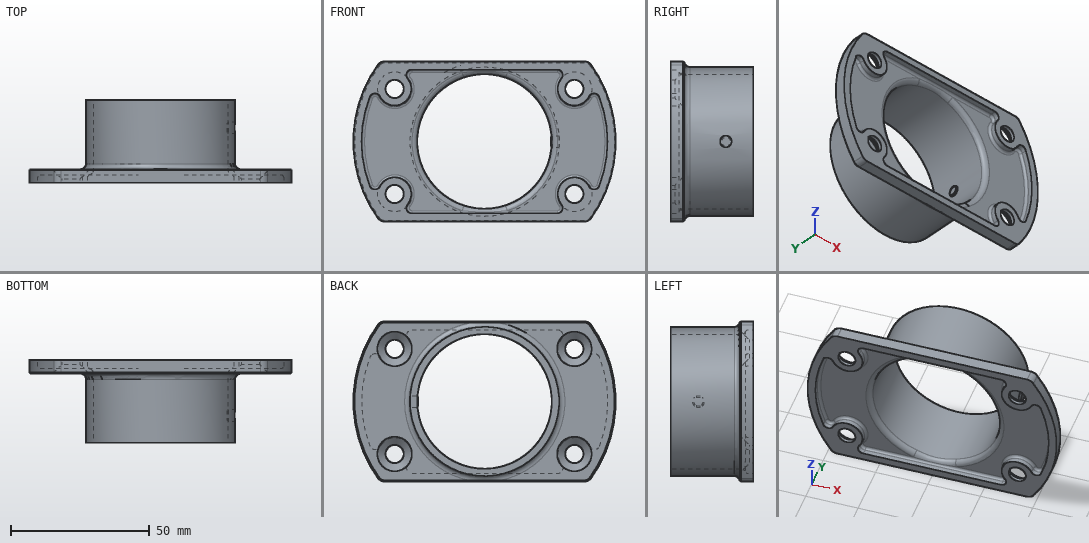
import cadquery as cq
import math

end_diameter = 95.0
plate_height = 58.0
plate_thickness = 5.0
corner_radius = 3.0
rear_chamfer = 0.5

tube_diameter = 54.0
bore_diameter = 48.6
total_depth = 30.0
root_fillet = 2.0
bore_mouth_radius = 2.0

hole_diameter = 6.5
countersink_diameter = 12.5
countersink_land = 0.5
hole_spacing_x = 65.0
hole_spacing_z = 38.0
pad_radius = 6.0

rim_width = 3.0
pocket_depth = 3.0
pocket_corner_radius = 2.0
pocket_floor_fillet = 1.0

pin_diameter = 4.2
pin_y = 20.0
pin_protrusion = 0.3
pin_tip_chamfer = 0.5

selection_margin = 0.1

end_radius = end_diameter / 2
tube_radius = tube_diameter / 2
bore_radius = bore_diameter / 2
half_height = plate_height / 2
hole_x = hole_spacing_x / 2
hole_z = hole_spacing_z / 2


def front_plane(y):
    """Workplane at depth y with local axes X and Z; a negative extrusion runs towards +Y."""
    return cq.Workplane("XZ", origin=(0, y, 0))


def cylinder_y(radius, y_start, y_end):
    """Cylinder on the Y axis."""
    return front_plane(y_start).circle(radius).extrude(y_start - y_end)


def make_plate():
    """Disc cut to a band, with rounded corners and a chamfered rear edge."""
    disc = cylinder_y(end_radius, 0, plate_thickness)
    band = cq.Workplane("XY").box(end_diameter, 2 * plate_thickness, plate_height)
    plate = disc.intersect(band).edges("|Y").fillet(corner_radius)
    return plate.faces(">Y").chamfer(rear_chamfer)


def make_root_flare():
    """Concave fillet ring between tube and plate, trimmed flush with the plate's chamfered long edges."""
    outer_radius = tube_radius + root_fillet
    arc_offset = root_fillet * (1 - math.sqrt(0.5))
    flare = (
        cq.Workplane("XY")
        .moveTo(bore_radius, plate_thickness)
        .lineTo(outer_radius, plate_thickness)
        .threePointArc(
            (tube_radius + arc_offset, plate_thickness + arc_offset),
            (tube_radius, plate_thickness + root_fillet),
        )
        .lineTo(bore_radius, plate_thickness + root_fillet)
        .close()
        .revolve(360, (0, 0, 0), (0, 1, 0))
    )
    rear_height = plate_height - 2 * rear_chamfer
    return flare.intersect(cq.Workplane("XY").box(end_diameter, 2 * total_depth, rear_height))


def point_toward(start, target, distance):
    """Point at the given distance from start on the way to target."""
    share = distance / math.dist(start, target)
    return (start[0] + (target[0] - start[0]) * share, start[1] + (target[1] - start[1]) * share)


def arc_middle(center, radius, first, last):
    """Middle point of the shorter arc from first to last."""
    chord_middle = ((first[0] + last[0]) / 2, (first[1] + last[1]) / 2)
    return point_toward(center, chord_middle, radius)


def pocket_outline():
    """Closed pocket outline: rim lines, end arcs, and pads joined to the rim by tangent corner arcs."""
    rim_z = half_height - rim_width
    end_arc_radius = end_radius - rim_width
    reach = pad_radius + pocket_corner_radius
    pad = (hole_x, hole_z)

    inner_z = rim_z - pocket_corner_radius
    inner_x = hole_x - math.sqrt(reach**2 - (inner_z - hole_z) ** 2)
    inner = (inner_x, inner_z)

    end_reach = end_arc_radius - pocket_corner_radius
    pad_distance = math.hypot(hole_x, hole_z)
    cosine = (pad_distance**2 + end_reach**2 - reach**2) / (2 * pad_distance * end_reach)
    angle = math.atan2(hole_z, hole_x) - math.acos(cosine)
    outer = (end_reach * math.cos(angle), end_reach * math.sin(angle))

    rim_point = (inner_x, rim_z)
    pad_inner = point_toward(pad, inner, pad_radius)
    pad_outer = point_toward(pad, outer, pad_radius)
    end_point = point_toward((0, 0), outer, end_arc_radius)

    quadrant = [
        (rim_point, arc_middle(inner, pocket_corner_radius, rim_point, pad_inner), pad_inner),
        (pad_inner, point_toward(pad, (0, 0), pad_radius), pad_outer),
        (pad_outer, arc_middle(outer, pocket_corner_radius, pad_outer, end_point), end_point),
    ]

    outline = front_plane(0).moveTo(-inner_x, rim_z)
    for side in (1, -1):
        outline = outline.lineTo(side * inner_x, side * rim_z)
        for _, middle, last in quadrant:
            outline = outline.threePointArc(
                (side * middle[0], side * middle[1]), (side * last[0], side * last[1])
            )
        outline = outline.threePointArc(
            (side * end_arc_radius, 0), (side * end_point[0], -side * end_point[1])
        )
        for first, middle, _ in reversed(quadrant):
            outline = outline.threePointArc(
                (side * middle[0], -side * middle[1]), (side * first[0], -side * first[1])
            )
    return outline.close()


def make_pocket():
    """Cutter for the front pocket, rounded where its walls meet its floor."""
    return pocket_outline().extrude(-pocket_depth).faces(">Y").edges().fillet(pocket_floor_fillet)


def pin_rod(start_x):
    """Rod on the pin's axis from start_x out to the tube's outer surface."""
    rod = (
        cq.Workplane("YZ", origin=(start_x, pin_y, 0))
        .circle(pin_diameter / 2)
        .extrude(tube_diameter)
    )
    return rod.intersect(cylinder_y(tube_radius, 0, total_depth))


def make_pin():
    """Pin through the tube wall, its outer end flush with the tube and its tip chamfered."""
    return pin_rod(bore_radius - pin_protrusion).faces("<X").chamfer(pin_tip_chamfer)


def make_pin_hole():
    """Hole for the pin, straight through the tube wall."""
    return pin_rod(0)


def make_screw_holes():
    """Plain holes opening into 90 degree countersinks that end in a short land at the rear face."""
    hole_radius = hole_diameter / 2
    sink_radius = countersink_diameter / 2
    land_start = plate_thickness - countersink_land
    cone_start = land_start - (sink_radius - hole_radius)
    cutter = (
        cq.Workplane("XY")
        .polyline(
            [
                (0, 0),
                (hole_radius, 0),
                (hole_radius, cone_start),
                (sink_radius, land_start),
                (sink_radius, plate_thickness),
                (0, plate_thickness),
            ]
        )
        .close()
        .revolve(360, (0, 0, 0), (0, 1, 0))
    )
    return [
        cutter.translate((side_x * hole_x, 0, side_z * hole_z))
        for side_x in (-1, 1)
        for side_z in (-1, 1)
    ]


def round_bore_mouth(housing):
    """Round the circular edge where the bore meets the pocket floor."""
    reach = bore_radius + selection_margin
    mouth_edge = cq.selectors.BoxSelector(
        (-reach, pocket_depth - selection_margin, -reach),
        (reach, pocket_depth + selection_margin, reach),
        boundingbox=True,
    )
    return housing.edges(mouth_edge).fillet(bore_mouth_radius)


def make_housing():
    """Plate and tube in one piece, with the pocket, the screw holes and the hole that holds the pin."""
    housing = make_plate().union(make_root_flare())
    housing = housing.union(cylinder_y(tube_radius, plate_thickness / 2, total_depth))
    housing = housing.cut(cylinder_y(bore_radius, 0, total_depth))
    housing = round_bore_mouth(housing.cut(make_pocket()))
    for screw_hole in make_screw_holes():
        housing = housing.cut(screw_hole)
    return housing.cut(make_pin_hole())


pin = make_pin()
housing = make_housing()
result = cq.Compound.makeCompound([housing.val(), pin.val()])